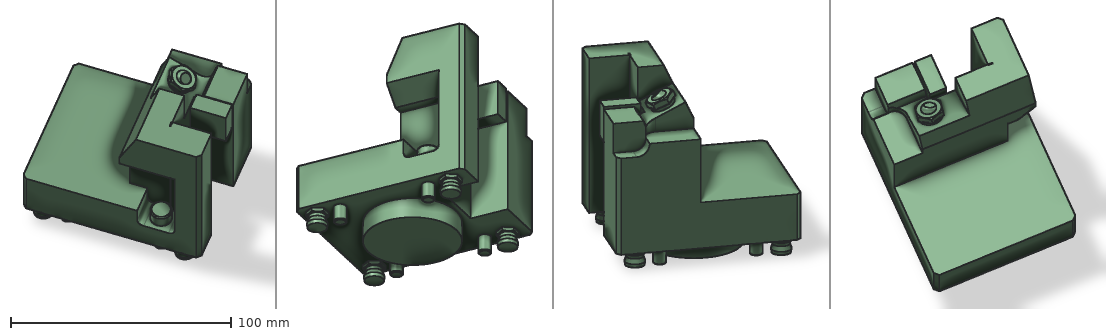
import cadquery as cq
import math

LENGTH = 86.0
WIDTH = 70.0
PLATE_HEIGHT = 22.3
BODY_HEIGHT = 75.2
CORNER_CHAMFER = 2.0
CENTER_X = 42.0
CENTER_Y = WIDTH / 2

UPRIGHT_X = 46.95
LEAN_ANGLE = 25.0
SLOPE_DROP = 17.2
LEAN = math.radians(LEAN_ANGLE)

SEAT_FRONT_Y = 31.05
SEAT_TOP_Z = 66.1
SEAT_LENGTH = 21.2
BLOCK_TOP_Z = 61.2

STEP_FRONT_Y = 56.0
STEP_RIGHT_X = 70.9
STEP_Z = 53.0
STEP_RADIUS = 6.0
REAR_FRONT_Y = 62.5

NOTCH_X = 67.1
NOTCH_FRONT_Y = 15.0
NOTCH_BACK_Y = 44.0

POCKET_LEFT_X = 55.55
POCKET_RIGHT_X = 73.6
POCKET_FLOOR_Z = 12.4
POCKET_CEILING_Z = 45.15
POCKET_DEPTH = 13.8
POCKET_SHALLOW_DEPTH = 12.7
POCKET_RADIUS = 3.0
CEILING_BEVEL = 8.6
SLIT_WIDTH = 0.4

BOSS_DIAMETER = 45.0
BOSS_HEIGHT = 9.8
DOWEL_DIAMETER = 6.0
DOWEL_LENGTH = 7.8
LONG_DOWEL_LENGTH = 8.25
DOWEL_CHAMFER = 0.5
DOWEL_SPACING_X = 45.1
DOWEL_SPACING_Y = 55.4

NIPPLE_SPACING_X = 68.3
NIPPLE_SPACING_Y = 56.0
NIPPLE_HEX_CORNERS = 10.6
NIPPLE_HEX_HEIGHT = 2.0
NIPPLE_HEX_TURN = 30.0
NIPPLE_HEX_FACE_DIAMETER = 8.95
NIPPLE_NECK_DIAMETER = 8.0
NIPPLE_NECK_END = 3.7
NIPPLE_DIAMETER = 9.6
NIPPLE_FLARE_END = 6.0
NIPPLE_TIP_DIAMETER = 8.95
NIPPLE_LENGTH = 7.8

HEAD_DIAMETER = 10.0
HEAD_HEIGHT = 6.0
HEAD_CHAMFER = 0.7

HEX_CHAMFER_ANGLE = 30.0

SCREW_X = 59.0
SCREW_Y = 46.9
COLLAR_DIAMETER = 11.5
COLLAR_HEIGHT = 1.8
HEX_CORNERS = 13.9
HEX_HEIGHT = 3.2
HEX_TURN = -11.0
HEX_FACE_DIAMETER = 11.7
BALL_DIAMETER = 8.0
BALL_SINK = 1.7
BALL_FLAT_DIAMETER = 5.3
BALL_FLAT_NORMAL = cq.Vector(0.62, -0.3, 0.72).normalized()

PAD_SIZE = 17.2
PAD_TOP_Z = 62.1
PAD_FRONT_Y = 34.9
PAD_BACK_Y = 43.0
PAD_X = 77.1
STEM_DIAMETER = 4.2
STEM_EMBEDMENT = 1.7


def box(x, y, z):
    """Box spanning the given (low, high) pairs."""
    size = (x[1] - x[0], y[1] - y[0], z[1] - z[0])
    return cq.Workplane("XY").box(*size, centered=False).translate((x[0], y[0], z[0]))


def prism(points, y_front, y_back):
    """XZ outline extruded between two Y positions."""
    plane = cq.Workplane("XZ", origin=(0, y_front, 0))
    return plane.polyline(points).close().extrude(y_front - y_back)


def revolve_profile(points):
    """Half profile of (radius, height) points turned about the Z axis."""
    return cq.Workplane("XZ").polyline(points).close().revolve(360, (0, 0, 0), (0, 1, 0))


def make_hexagon(corners, height, face_diameter):
    """Hexagonal prism with its upper corners turned off around a round face."""
    slope = math.tan(math.radians(HEX_CHAMFER_ANGLE))
    envelope = revolve_profile([
        (0, 0),
        (corners / 2, 0),
        (corners / 2, height - (corners - face_diameter) / 2 * slope),
        (face_diameter / 2, height),
        (0, height),
    ])
    return cq.Workplane("XY").polygon(6, corners).extrude(height).intersect(envelope)


def grid(spacing_x, spacing_y):
    """Four positions placed evenly about the boss centre."""
    return [
        (CENTER_X + side_x * spacing_x / 2, CENTER_Y + side_y * spacing_y / 2)
        for side_x in (-1, 1)
        for side_y in (-1, 1)
    ]


def make_body():
    outline = [
        (0, 0),
        (LENGTH, 0),
        (LENGTH, BODY_HEIGHT),
        (UPRIGHT_X + SLOPE_DROP * math.tan(LEAN), BODY_HEIGHT),
        (UPRIGHT_X, BODY_HEIGHT - SLOPE_DROP),
        (UPRIGHT_X, PLATE_HEIGHT),
        (0, PLATE_HEIGHT),
    ]
    body = prism(outline, 0, WIDTH)
    return body.edges("|Z and (<X or >X)").chamfer(CORNER_CHAMFER)


def seat_start_x():
    """X where the seat floor meets the sloped face."""
    return UPRIGHT_X + (SEAT_TOP_Z - BODY_HEIGHT + SLOPE_DROP) * math.tan(LEAN)


def seat_height(x):
    """Height of the leaning seat floor at a given X."""
    return SEAT_TOP_Z - (x - seat_start_x()) * math.tan(LEAN)


def seat_cut():
    wall_x = seat_start_x() + SEAT_LENGTH * math.cos(LEAN)
    wall_z = seat_height(wall_x)
    outline = [
        (UPRIGHT_X, seat_height(UPRIGHT_X)),
        (wall_x, wall_z),
        (wall_x + (BLOCK_TOP_Z - wall_z) * math.tan(LEAN), BLOCK_TOP_Z),
        (LENGTH, BLOCK_TOP_Z),
        (LENGTH, BODY_HEIGHT),
        (UPRIGHT_X, BODY_HEIGHT),
    ]
    return prism(outline, SEAT_FRONT_Y, WIDTH)


def rear_cuts():
    step = box((UPRIGHT_X, STEP_RIGHT_X), (STEP_FRONT_Y, WIDTH), (STEP_Z, BODY_HEIGHT))
    step = step.edges("|Z and >X and <Y").fillet(STEP_RADIUS)
    rear = box((STEP_RIGHT_X, LENGTH), (REAR_FRONT_Y, WIDTH), (STEP_Z - STEP_RADIUS, BODY_HEIGHT))
    rear = rear.edges("|Y and <X and <Z").fillet(STEP_RADIUS)
    return step.union(rear)


def notch_cut():
    return box((NOTCH_X, LENGTH), (NOTCH_FRONT_Y, NOTCH_BACK_Y), (0, BODY_HEIGHT))


def pocket_cut():
    tall_z = (POCKET_FLOOR_Z, POCKET_CEILING_Z)
    tall = box((POCKET_LEFT_X, POCKET_RIGHT_X), (0, POCKET_DEPTH), tall_z)
    tall = tall.edges("|Y and (>X or <Z)").fillet(POCKET_RADIUS)
    side_z = (PLATE_HEIGHT, POCKET_CEILING_Z)
    side = box((UPRIGHT_X, POCKET_LEFT_X + POCKET_RADIUS), (0, POCKET_DEPTH), side_z)
    step_x = (NOTCH_X, POCKET_RIGHT_X)
    step = box(step_x, (POCKET_SHALLOW_DEPTH, POCKET_DEPTH), tall_z)
    slit_x = (NOTCH_X - SLIT_WIDTH, NOTCH_X)
    slit = box(slit_x, (POCKET_SHALLOW_DEPTH, NOTCH_FRONT_Y), (POCKET_FLOOR_Z, BODY_HEIGHT))
    bevel_reach = CEILING_BEVEL + POCKET_RADIUS
    bevel = (
        cq.Workplane("YZ", origin=(UPRIGHT_X, 0, 0))
        .moveTo(0, POCKET_CEILING_Z + CEILING_BEVEL)
        .lineTo(bevel_reach, POCKET_CEILING_Z - POCKET_RADIUS)
        .lineTo(0, POCKET_CEILING_Z - POCKET_RADIUS)
        .close()
        .extrude(POCKET_RIGHT_X - UPRIGHT_X)
    )
    return tall.union(side).cut(step).union(bevel).union(slit)


def make_boss():
    boss = cq.Workplane("XY").circle(BOSS_DIAMETER / 2).extrude(-BOSS_HEIGHT)
    return boss.translate((CENTER_X, CENTER_Y, 0))


def make_dowel(length):
    dowel = cq.Workplane("XY").circle(DOWEL_DIAMETER / 2).extrude(-length)
    return dowel.faces("<Z").chamfer(DOWEL_CHAMFER)


def make_nipple():
    hexagon = make_hexagon(NIPPLE_HEX_CORNERS, NIPPLE_HEX_HEIGHT, NIPPLE_HEX_FACE_DIAMETER)
    hexagon = hexagon.mirror("XY").rotate((0, 0, 0), (0, 0, 1), NIPPLE_HEX_TURN)
    turned = revolve_profile([
        (0, 0),
        (NIPPLE_NECK_DIAMETER / 2, 0),
        (NIPPLE_NECK_DIAMETER / 2, -NIPPLE_NECK_END),
        (NIPPLE_DIAMETER / 2, -NIPPLE_FLARE_END),
        (NIPPLE_TIP_DIAMETER / 2, -NIPPLE_LENGTH),
        (0, -NIPPLE_LENGTH),
    ])
    return hexagon.union(turned)


def make_pin_head():
    head = cq.Workplane("XY").circle(HEAD_DIAMETER / 2).extrude(HEAD_HEIGHT)
    head = head.faces(">Z").chamfer(HEAD_CHAMFER)
    x = CENTER_X + DOWEL_SPACING_X / 2
    y = CENTER_Y - DOWEL_SPACING_Y / 2
    return head.translate((x, y, POCKET_FLOOR_Z))


def make_screw():
    """Screw built upright at the origin, then leaned square to the seat."""
    head_top = COLLAR_HEIGHT + HEX_HEIGHT
    collar = cq.Workplane("XY").circle(COLLAR_DIAMETER / 2).extrude(COLLAR_HEIGHT)
    hexagon = make_hexagon(HEX_CORNERS, HEX_HEIGHT, HEX_FACE_DIAMETER)
    hexagon = hexagon.rotate((0, 0, 0), (0, 0, 1), HEX_TURN).translate((0, 0, COLLAR_HEIGHT))
    screw = collar.union(hexagon)
    screw = screw.rotate((0, 0, 0), (0, 1, 0), LEAN_ANGLE)

    ball_center = cq.Vector(math.sin(LEAN), 0, math.cos(LEAN)) * (head_top - BALL_SINK)
    flat_distance = math.sqrt(BALL_DIAMETER**2 - BALL_FLAT_DIAMETER**2) / 2
    flat_plane = cq.Plane(ball_center + BALL_FLAT_NORMAL * flat_distance, normal=BALL_FLAT_NORMAL)
    ball = cq.Workplane("XY").sphere(BALL_DIAMETER / 2).translate(ball_center)
    ball = ball.cut(cq.Workplane(flat_plane).rect(BALL_DIAMETER, BALL_DIAMETER).extrude(BALL_DIAMETER))
    return screw.union(ball).translate((SCREW_X, SCREW_Y, seat_height(SCREW_X)))


def make_pad():
    pad = box(
        (PAD_X - PAD_SIZE / 2, PAD_X + PAD_SIZE / 2),
        (PAD_FRONT_Y, PAD_BACK_Y),
        (PAD_TOP_Z - PAD_SIZE, PAD_TOP_Z),
    )
    stem_origin = (PAD_X, PAD_BACK_Y - STEM_EMBEDMENT, PAD_TOP_Z - PAD_SIZE / 2)
    stem_length = NOTCH_BACK_Y - PAD_BACK_Y + 2 * STEM_EMBEDMENT
    stem = cq.Workplane("XZ", origin=stem_origin).circle(STEM_DIAMETER / 2).extrude(-stem_length)
    return pad.union(stem)


result = make_body()
for cut in (seat_cut(), rear_cuts(), notch_cut(), pocket_cut()):
    result = result.cut(cut)

for x, y in grid(DOWEL_SPACING_X, DOWEL_SPACING_Y):
    is_long = x > CENTER_X and y > CENTER_Y
    length = LONG_DOWEL_LENGTH if is_long else DOWEL_LENGTH
    result = result.union(make_dowel(length).translate((x, y, 0)))
for x, y in grid(NIPPLE_SPACING_X, NIPPLE_SPACING_Y):
    result = result.union(make_nipple().translate((x, y, 0)))
for feature in (make_boss(), make_pin_head(), make_screw(), make_pad()):
    result = result.union(feature)